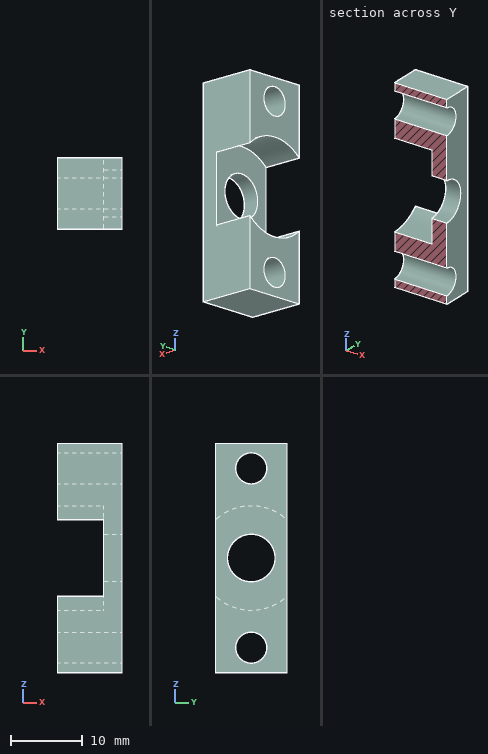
import cadquery as cq

width = 9.0
depth = 10.0
height = 32.0

bore_diameter = 6.6
counterbore_diameter = 14.6
counterbore_depth = 6.4
screw_hole_diameter = 4.3
screw_hole_spacing = 25.0


def x_cylinder(diameter, length, z=0.0):
    """Cylinder along +X that starts on the -X face, centred at height z."""
    start_face = cq.Workplane("YZ", origin=(-width / 2, 0, z))
    return start_face.circle(diameter / 2).extrude(length)


block = cq.Workplane("XY").box(width, depth, height)

result = block.cut(x_cylinder(counterbore_diameter, counterbore_depth))
result = result.cut(x_cylinder(bore_diameter, width))

for side in (-1, 1):
    screw_hole_z = side * screw_hole_spacing / 2
    result = result.cut(x_cylinder(screw_hole_diameter, width, screw_hole_z))